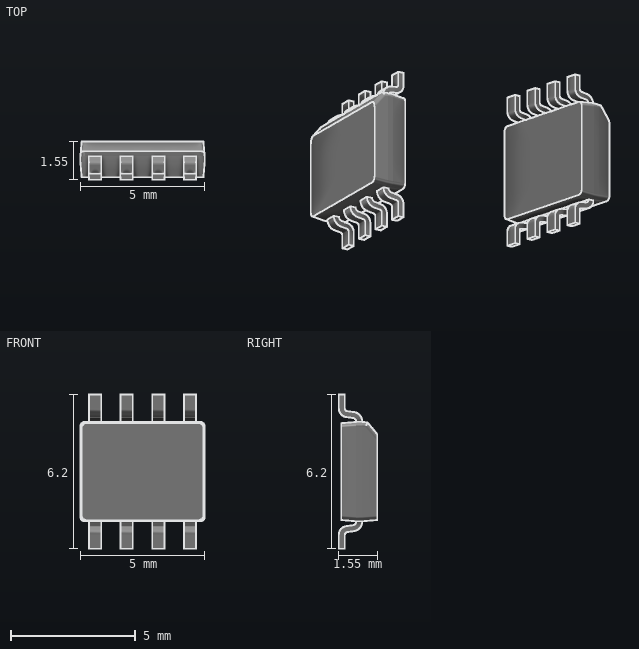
import cadquery as cq
import math


BODY_LENGTH = 5.0
BODY_WIDTH = 4.0
OVERALL_HEIGHT = 1.55
STANDOFF = 0.1
DRAFT_ANGLE = 5.0
CORNER_RADIUS = 0.2
BEVEL_DEPTH = 0.4
BEVEL_TOP_SETBACK = 0.44

LEAD_COUNT = 4
LEAD_PITCH = 1.27
LEAD_WIDTH = 0.5
LEAD_THICKNESS = 0.25
LEAD_SPAN = 6.2
SHOULDER_INNER_RADIUS = 0.15
FOOT_INNER_RADIUS = 0.1
SHANK_LEAN = 7.5
LEAD_EMBED = 0.5

PAD_LENGTH = 3.1
PAD_WIDTH = 2.2
PAD_THICKNESS = 0.25

BODY_HEIGHT = OVERALL_HEIGHT - STANDOFF
SHELL_HEIGHT = (BODY_HEIGHT - LEAD_THICKNESS) / 2
BAND_BOTTOM = STANDOFF + SHELL_HEIGHT
BAND_TOP = BAND_BOTTOM + LEAD_THICKNESS
DRAFT_INSET = SHELL_HEIGHT * math.tan(math.radians(DRAFT_ANGLE))


def level(y):
    """Workplane at height y, with its normal along +Y."""
    return cq.Workplane("XZ", origin=(0, y, 0)).transformed(rotate=(180, 0, 0))


def drafted_shell(start_y, direction, width, top_width):
    """Frustum leaving height start_y along direction (+1 up, -1 down), always drafted at its X ends."""
    return (
        level(start_y)
        .rect(BODY_LENGTH, width)
        .workplane(offset=direction * SHELL_HEIGHT)
        .rect(BODY_LENGTH - 2 * DRAFT_INSET, top_width)
        .loft(ruled=True)
    )


def rounded_body():
    """Straight parting band between two drafted shells, with rounded corners."""
    top_width = BODY_WIDTH - 2 * DRAFT_INSET
    band = level(BAND_BOTTOM).rect(BODY_LENGTH, BODY_WIDTH).extrude(LEAD_THICKNESS)
    upper = drafted_shell(BAND_TOP, 1, BODY_WIDTH, top_width)
    lower = drafted_shell(BAND_BOTTOM, -1, BODY_WIDTH, top_width)
    return band.union(upper).union(lower).edges("not(#Y)").fillet(CORNER_RADIUS)


def bevel_cutter():
    """Material outside the pin-1 bevel on the +Z side, including its two rounded ends."""
    block_width = 2 * BODY_WIDTH
    block = drafted_shell(BAND_TOP, 1, block_width, block_width)

    bevel_top_z = BODY_WIDTH / 2 - DRAFT_INSET - BEVEL_TOP_SETBACK
    wall_lean = math.tan(math.radians(DRAFT_ANGLE))
    bevel_slope = (BEVEL_TOP_SETBACK + BEVEL_DEPTH * wall_lean) / BEVEL_DEPTH
    bevel_base_z = bevel_top_z + bevel_slope * SHELL_HEIGHT
    beyond_bevel = (
        cq.Workplane("YZ")
        .moveTo(OVERALL_HEIGHT, bevel_top_z)
        .lineTo(BAND_TOP, bevel_base_z)
        .lineTo(BAND_TOP, block_width)
        .lineTo(OVERALL_HEIGHT, block_width)
        .close()
        .extrude(BODY_LENGTH, both=True)
    )
    bevelled = block.cut(beyond_bevel)
    rounded = bevelled.faces(">Z").edges("not(|X or #Y)").fillet(CORNER_RADIUS)
    return block.cut(rounded)


def moulded_body():
    """Rounded body with the pin-1 bevel taken off."""
    return rounded_body().cut(bevel_cutter())


def lead_profile():
    """Closed gull-wing outline of a +Z lead in the YZ plane."""
    lean = math.radians(SHANK_LEAN)
    sin_lean = math.sin(lean)
    cos_lean = math.cos(lean)
    full_turn = math.pi / 2 - lean
    half_turn = full_turn / 2

    shoulder_outer = SHOULDER_INNER_RADIUS + LEAD_THICKNESS
    foot_outer = FOOT_INNER_RADIUS + LEAD_THICKNESS
    bend_sum = shoulder_outer + FOOT_INNER_RADIUS

    tip_z = LEAD_SPAN / 2
    exit_z = BODY_WIDTH / 2
    root_z = exit_z - LEAD_EMBED

    shank_drop = BAND_TOP - LEAD_THICKNESS - bend_sum * (1 - sin_lean)
    foot_z = exit_z + bend_sum * cos_lean + shank_drop * math.tan(lean)
    shoulder_y = BAND_TOP - shoulder_outer

    def shoulder(radius, turn):
        return (shoulder_y + radius * math.cos(turn), exit_z + radius * math.sin(turn))

    def foot(radius, turn):
        return (foot_outer - radius * math.cos(turn), foot_z - radius * math.sin(turn))

    return (
        cq.Workplane("YZ")
        .moveTo(BAND_TOP, root_z)
        .lineTo(BAND_TOP, exit_z)
        .threePointArc(shoulder(shoulder_outer, half_turn), shoulder(shoulder_outer, full_turn))
        .lineTo(*foot(FOOT_INNER_RADIUS, full_turn))
        .threePointArc(foot(FOOT_INNER_RADIUS, half_turn), foot(FOOT_INNER_RADIUS, 0))
        .lineTo(LEAD_THICKNESS, tip_z)
        .lineTo(0, tip_z)
        .lineTo(0, foot_z)
        .threePointArc(foot(foot_outer, half_turn), foot(foot_outer, full_turn))
        .lineTo(*shoulder(SHOULDER_INNER_RADIUS, full_turn))
        .threePointArc(shoulder(SHOULDER_INNER_RADIUS, half_turn), shoulder(SHOULDER_INNER_RADIUS, 0))
        .lineTo(BAND_BOTTOM, root_z)
        .close()
    )


def thermal_pad():
    """Pad let into the underside, its outer face level with the body."""
    return level(STANDOFF).rect(PAD_LENGTH, PAD_WIDTH).extrude(PAD_THICKNESS)


package = moulded_body()
lead = lead_profile().extrude(LEAD_WIDTH / 2, both=True)
for index in range(LEAD_COUNT):
    lead_x = (index - (LEAD_COUNT - 1) / 2) * LEAD_PITCH
    upper_lead = lead.translate((lead_x, 0, 0))
    package = package.union(upper_lead).union(upper_lead.mirror("XY"))

result = package.union(thermal_pad(), clean=False)